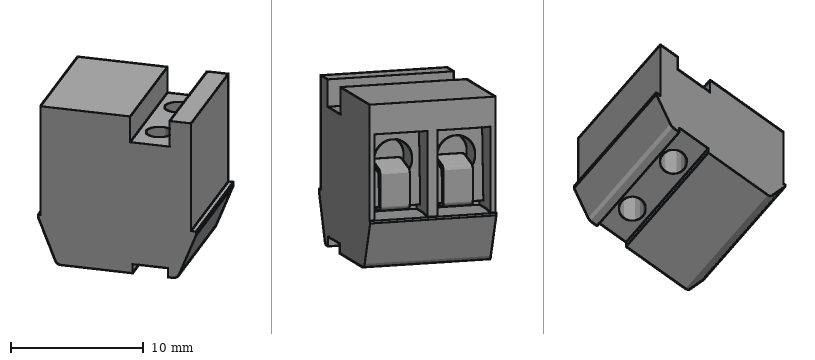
import cadquery as cq
import math

length = 12.4
width = 10.0
height = 12.8

front_lip = 0.18
rear_lip = 0.4
front_ledge_z = 3.9
rear_ledge_z = 4.0
lip_bottom_z = 3.71
taper_run = 1.47
bottom_radius = 0.51

slot_start = 7.23
slot_end = 10.33
slot_depth = 2.1
channel_start = 7.41
channel_end = 10.19
channel_depth = 0.74

pole_pitch = width / 2
pole_centers = (-pole_pitch / 2, pole_pitch / 2)
screw_x = (slot_start + slot_end) / 2
screw_diameter = 2.01

window_width = 4.19
window_top_z = 10.5
wall_slope = math.tan(math.radians(3.0))
floor_ramp_end = 1.22
floor_z = 4.02
wall_bottom_x = 1.93
wall_bottom_z = 4.52
recess_end = 2.82

wire_hole_radius = 1.51
wire_hole_z = 8.09
wire_hole_depth = 2.05

tongue_width = 2.33
tongue_x = 1.61
tongue_bottom_z = 4.22
tongue_top_z = 7.4
tongue_crest_z = 7.8
tongue_radius = 0.4
tongue_slope = math.radians(14.0)


def wall_x(z):
    """Position of the sloping back wall of a window at height z."""
    return wall_bottom_x + (z - wall_bottom_z) * wall_slope


def across(sketch, center_y, span):
    """Extrude an XZ outline along Y, centred on center_y."""
    return sketch.extrude(span / 2, both=True).translate((0, center_y, 0))


def make_body():
    rear_wall = length - rear_lip
    outline = (
        cq.Workplane("XZ")
        .moveTo(taper_run, 0)
        .lineTo(channel_start, 0)
        .lineTo(channel_start, channel_depth)
        .lineTo(channel_end, channel_depth)
        .lineTo(channel_end, 0)
        .lineTo(length - taper_run, 0)
        .lineTo(length, lip_bottom_z)
        .lineTo(length, rear_ledge_z)
        .lineTo(rear_wall, rear_ledge_z)
        .lineTo(rear_wall, height)
        .lineTo(slot_end, height)
        .lineTo(slot_end, height - slot_depth)
        .lineTo(slot_start, height - slot_depth)
        .lineTo(slot_start, height)
        .lineTo(front_lip, height)
        .lineTo(front_lip, front_ledge_z)
        .lineTo(0, front_ledge_z)
        .lineTo(0, lip_bottom_z)
        .close()
    )
    body = across(outline, 0, width)
    for corner_x in (taper_run, length - taper_run):
        body = body.edges(cq.selectors.NearestToPointSelector((corner_x, 0, 0))).fillet(bottom_radius)
    return body


def make_window(center_y):
    ceiling_drop = (wall_x(window_top_z) - front_lip) * wall_slope
    ceiling_z = window_top_z - ceiling_drop
    outline = (
        cq.Workplane("XZ")
        .moveTo(front_lip, front_ledge_z)
        .lineTo(floor_ramp_end, floor_z)
        .lineTo(recess_end, floor_z)
        .lineTo(recess_end, wall_bottom_z)
        .lineTo(wall_bottom_x, wall_bottom_z)
        .lineTo(wall_x(ceiling_z), ceiling_z)
        .lineTo(front_lip, window_top_z)
        .close()
    )
    return across(outline, center_y, window_width)


def make_wire_hole(center_y):
    mouth = cq.Vector(wall_x(wire_hole_z), center_y, wire_hole_z)
    inward = cq.Vector(1, 0, -wall_slope)
    return cq.Workplane(cq.Solid.makeCylinder(wire_hole_radius, wire_hole_depth, mouth, inward))


def make_screw_hole(center_y):
    return cq.Workplane("XY").center(screw_x, center_y).circle(screw_diameter / 2).extrude(height)


def make_tongue(center_y):
    hole_end = wall_x(wire_hole_z) + wire_hole_depth
    bend_end_x = tongue_x + tongue_radius * (1 - math.sin(tongue_slope))
    bend_center_z = tongue_top_z - tongue_radius * math.cos(tongue_slope)
    crest_x = bend_end_x + (tongue_crest_z - tongue_top_z) / math.tan(tongue_slope)
    outline = (
        cq.Workplane("XZ")
        .moveTo(hole_end, tongue_bottom_z)
        .lineTo(tongue_x + tongue_radius, tongue_bottom_z)
        .radiusArc((tongue_x, tongue_bottom_z + tongue_radius), tongue_radius)
        .lineTo(tongue_x, bend_center_z)
        .radiusArc((bend_end_x, tongue_top_z), tongue_radius)
        .lineTo(crest_x, tongue_crest_z)
        .lineTo(hole_end, tongue_crest_z)
        .close()
    )
    return across(outline, center_y, tongue_width)


result = make_body()
for pole_y in pole_centers:
    result = result.cut(make_window(pole_y))
    result = result.cut(make_wire_hole(pole_y))
    result = result.cut(make_screw_hole(pole_y))
    result = result.union(make_tongue(pole_y))